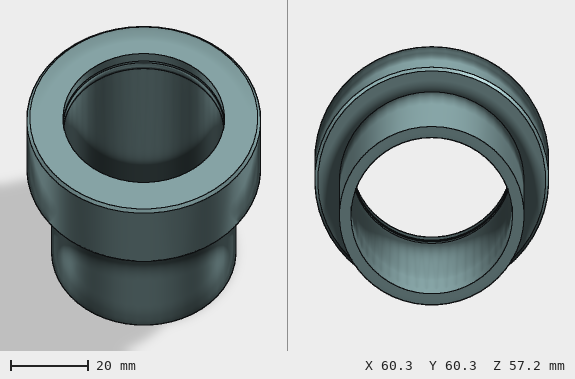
import cadquery as cq

total_height = 57.15
collar_diameter = 60.3
collar_height = 22.2
collar_chamfer = 0.8
tube_diameter = 47.6
bore_diameter = 41.6

lip_thickness = 3.2
washer_thickness = 0.8
seal_inner_diameter = 41.25
washer_gap = 0.1
seat_drop = 0.35

seal_section = (tube_diameter - seal_inner_diameter) / 2
seal_center_radius = (tube_diameter + seal_inner_diameter) / 4

collar_bottom = total_height - collar_height
washer_top = total_height - lip_thickness
washer_bottom = washer_top - washer_thickness
seal_height = washer_bottom - washer_gap - seal_section / 2
tube_top = seal_height - seat_drop


def make_ring(outer_diameter, inner_diameter, bottom, top):
    """Plain ring about Z between two heights."""
    return (
        cq.Workplane("XY")
        .workplane(offset=bottom)
        .circle(outer_diameter / 2)
        .circle(inner_diameter / 2)
        .extrude(top - bottom)
    )


def make_collar():
    """Chamfered collar with a socket from below and a lip at the top."""
    blank = (
        cq.Workplane("XY")
        .workplane(offset=collar_bottom)
        .circle(collar_diameter / 2)
        .extrude(collar_height)
        .edges()
        .chamfer(collar_chamfer)
    )
    socket = cq.Workplane("XY").workplane(offset=collar_bottom).circle(tube_diameter / 2)
    bore = cq.Workplane("XY").workplane(offset=collar_bottom).circle(bore_diameter / 2)
    return blank.cut(socket.extrude(washer_top - collar_bottom)).cut(bore.extrude(collar_height))


def make_seal():
    """O-ring resting in the tube end, just below the washer."""
    inner = (seal_inner_diameter / 2, seal_height)
    outer = (tube_diameter / 2, seal_height)
    crown = (seal_center_radius, seal_height + seal_section / 2)
    root = (seal_center_radius, seal_height - seal_section / 2)
    return (
        cq.Workplane("XZ")
        .moveTo(*inner)
        .threePointArc(crown, outer)
        .threePointArc(root, inner)
        .close()
        .revolve(360, (0, 0), (0, 1), clean=False)
    )


def make_tube(seal):
    """Straight tube whose end has a rounded seat that matches the seal."""
    return make_ring(tube_diameter, bore_diameter, 0, tube_top).cut(seal, clean=False)


collar = make_collar()
washer = make_ring(tube_diameter, bore_diameter, washer_bottom, washer_top)
seal = make_seal()
tube = make_tube(seal)

result = cq.Compound.makeCompound([collar.val(), washer.val(), seal.val(), tube.val()])